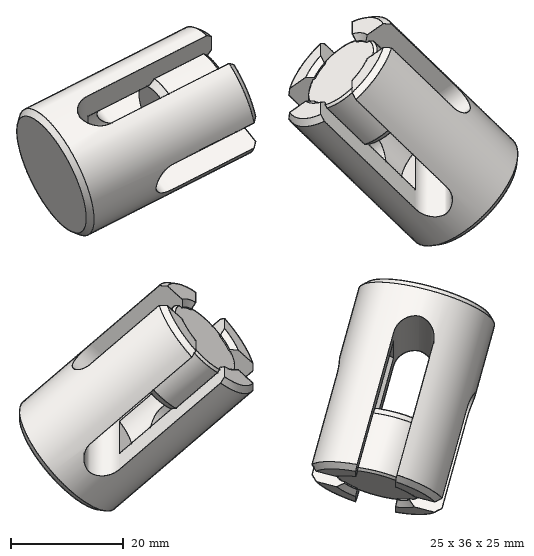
import cadquery as cq
import math

body_diameter = 25.0
body_length = 36.0
body_chamfer = 1.0
front_y = -body_length / 2
rear_y = body_length / 2

slot_width = 7.3
slot_corner_radius = 4.0
deep_slot_corner_y = front_y + 10.0
shallow_slot_corner_y = front_y + 18.0

bore_diameter = 14.0
bore_floor_y = deep_slot_corner_y
bore_mouth_chamfer = 1.0

screw_diameter = 16.0
screw_rear_y = rear_y - 1.25
screw_length = 12.05
screw_tip_y = screw_rear_y - screw_length
screw_tip_chamfer = 1.25
screw_rear_chamfer = 0.45


def round_ended_slot(plane, corner_y):
    """Slot cutter through the body, open at the +Y end.

    The two straight walls end at corner_y, each in an arc tangent to it, and the arcs meet midway.
    The plane's local x direction is the slot's width and its normal the cutting direction.
    """
    half_width = slot_width / 2
    arc_offset = slot_corner_radius - half_width
    floor_y = corner_y - math.sqrt(slot_corner_radius**2 - arc_offset**2)
    return (
        cq.Workplane(plane)
        .moveTo(-half_width, rear_y)
        .lineTo(-half_width, corner_y)
        .radiusArc((0, floor_y), -slot_corner_radius)
        .radiusArc((half_width, corner_y), -slot_corner_radius)
        .lineTo(half_width, rear_y)
        .close()
        .extrude(body_diameter / 2, both=True)
    )


def make_bore():
    """Bore cutter with a countersunk mouth at the +Y end."""
    radius = bore_diameter / 2
    return (
        cq.Workplane("XY")
        .moveTo(0, bore_floor_y)
        .lineTo(radius, bore_floor_y)
        .lineTo(radius, rear_y - bore_mouth_chamfer)
        .lineTo(radius + bore_mouth_chamfer, rear_y)
        .lineTo(0, rear_y)
        .close()
        .revolve(360, (0, 0, 0), (0, 1, 0))
    )


def make_clamp_body(seated_screw):
    """Chamfered bar with the bore, both slots and a recess for the screw cut away."""
    bar = (
        cq.Workplane("XZ", origin=(0, rear_y, 0))
        .circle(body_diameter / 2)
        .extrude(body_length)
        .faces("<Y or >Y")
        .chamfer(body_chamfer)
    )
    across_z = cq.Plane(origin=(0, 0, 0), xDir=(1, 0, 0), normal=(0, 0, 1))
    across_x = cq.Plane(origin=(0, 0, 0), xDir=(0, 0, -1), normal=(1, 0, 0))
    deep_slot = round_ended_slot(across_z, deep_slot_corner_y)
    shallow_slot = round_ended_slot(across_x, shallow_slot_corner_y)
    return bar.cut(make_bore()).cut(deep_slot).cut(shallow_slot).cut(seated_screw)


def make_screw():
    """Round plug about the Y axis, chamfered at both ends."""
    radius = screw_diameter / 2
    return (
        cq.Workplane("XY")
        .moveTo(0, screw_tip_y)
        .lineTo(radius - screw_tip_chamfer, screw_tip_y)
        .lineTo(radius, screw_tip_y + screw_tip_chamfer)
        .lineTo(radius, screw_rear_y - screw_rear_chamfer)
        .lineTo(radius - screw_rear_chamfer, screw_rear_y)
        .lineTo(0, screw_rear_y)
        .close()
        .revolve(360, (0, 0, 0), (0, 1, 0))
    )


screw = make_screw()
clamp_body = make_clamp_body(screw)

result = cq.Compound.makeCompound([clamp_body.val(), screw.val()])